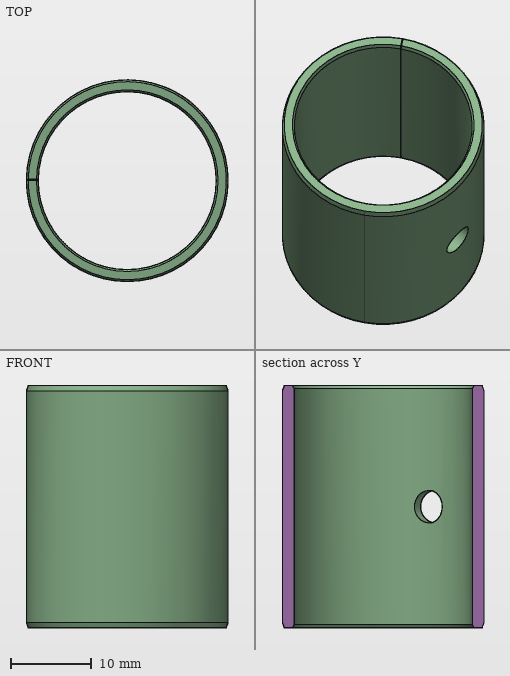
import cadquery as cq

length = 30.0
outer_diameter = 25.0
wall = 1.5
inner_diameter = outer_diameter - 2 * wall

outer_chamfer_height = 0.65
outer_chamfer_depth = 0.25
inner_chamfer_depth = 0.25
inner_chamfer_height = 0.4

seam_width = 0.12
seam_offset = 0.12

oil_hole_diameter = 4.0
oil_hole_angle = 59.0


def make_sleeve():
    """Revolve the chamfered wall section around Z."""
    outer_radius = outer_diameter / 2
    inner_radius = inner_diameter / 2
    section = [
        (inner_radius + inner_chamfer_depth, 0),
        (outer_radius - outer_chamfer_depth, 0),
        (outer_radius, outer_chamfer_height),
        (outer_radius, length - outer_chamfer_height),
        (outer_radius - outer_chamfer_depth, length),
        (inner_radius + inner_chamfer_depth, length),
        (inner_radius, length - inner_chamfer_height),
        (inner_radius, inner_chamfer_height),
    ]
    return cq.Workplane("XZ").polyline(section).close().revolve(360, (0, 0), (0, 1))


def make_seam_cutter():
    """Thin slab through the wall on the -X side, over the full length."""
    return (
        cq.Workplane("XY")
        .center(-outer_diameter / 2, seam_offset)
        .rect(outer_diameter / 2, seam_width)
        .extrude(length)
    )


def make_oil_hole_cutter():
    """Radial cylinder from the axis out through one side of the wall."""
    return (
        cq.Workplane("YZ")
        .center(0, length / 2)
        .circle(oil_hole_diameter / 2)
        .extrude(outer_diameter)
        .rotate((0, 0, 0), (0, 0, 1), oil_hole_angle)
    )


result = make_sleeve().cut(make_seam_cutter()).cut(make_oil_hole_cutter())